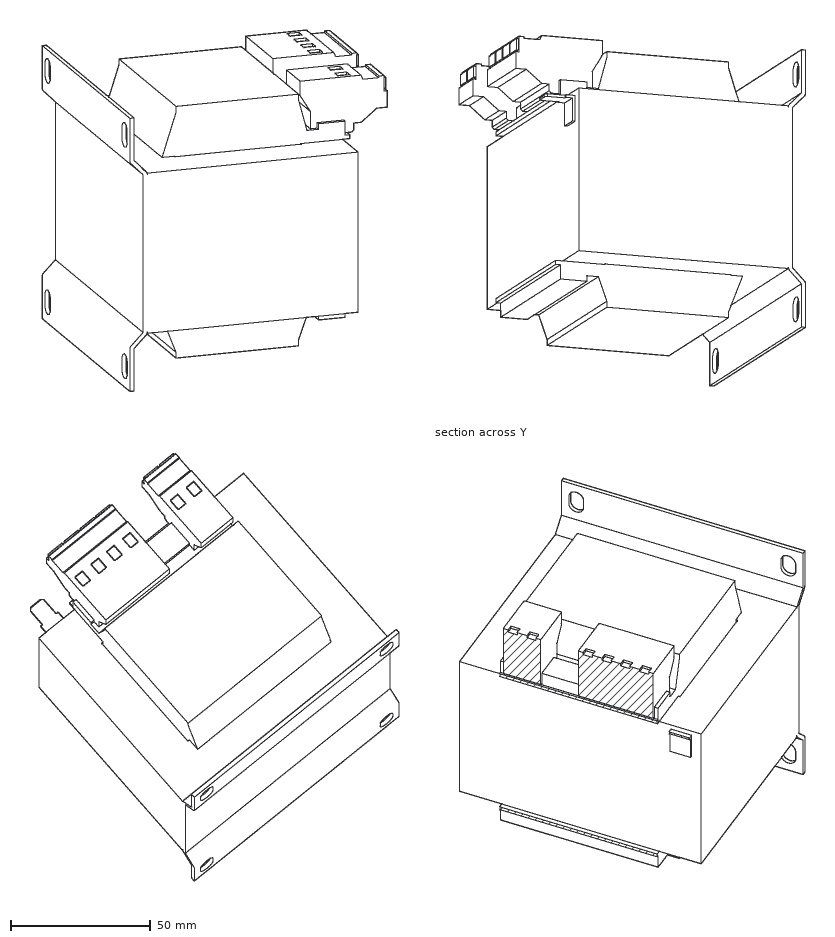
import cadquery as cq
import math


OVERALL_HEIGHT = 104.05
OVERALL_DEPTH = 104.0

CORE_WIDTH = 96.0
CORE_DEPTH = 80.0
CORE_HEIGHT = 60.0
LIMB_WIDTH = CORE_WIDTH / 6
CORE_FRONT_Y = 6.6
CORE_BACK_Y = CORE_FRONT_Y + CORE_DEPTH
WINDOW_FRONT_Y = CORE_FRONT_Y + LIMB_WIDTH
WINDOW_BACK_Y = CORE_BACK_Y - LIMB_WIDTH
CORE_TOP_Z = CORE_HEIGHT / 2

BRACKET_HEIGHT = 102.3
BRACKET_THICKNESS = 1.6
FLANGE_BEND_Z = 35.2
SLOT_WIDTH = 5.8
SLOT_LENGTH = 9.0
SLOT_X = 42.1
SLOT_Z = 43.3

BOBBIN_WIDTH = 62.6
COIL_TOP_Z = 48.6
COIL_BOTTOM_DEPTH = 45.7
COIL_FRONT_Y = 23.3
COIL_BACK_Y = 69.8
COIL_FOOT_FRONT_Y = 18.0
COIL_FOOT_BACK_Y = 73.0
COIL_EDGE_HEIGHT = 2.2
SHELF_Z = 34.7
RAIL_Z = 36.75
RAIL_FRONT_Y = 77.4
RAIL_BACK_Y = 87.5
LIP_Z = 31.5
LIP_BACK_Y = 89.3

TERMINAL_WIDTH = 14.9
TERMINAL_POSITIONS = (-2, -1, 1)
TERMINAL_TOP_Z = OVERALL_HEIGHT - BRACKET_HEIGHT / 2
TERMINAL_FRONT_Y = 70.9
TERMINAL_FRONT_BOTTOM_Z = 47.5
TERMINAL_FOOT_FRONT_Y = 74.8
TERMINAL_FOOT_TOP_Z = 41.2
TERMINAL_BACK_Y = OVERALL_DEPTH
HOOK_BACK_Y = 91.3
HOOK_BOTTOM_Z = 31.9
HOOK_TOP_Z = 35.2
HOOK_CHAMFER = 0.8
UNDERCUT_FRONT_Y = 94.1
UNDERCUT_BACK_Y = 100.0
NOSE_UNDERSIDE_Z = 39.9
STEP_FRONT_Y = 94.0
STEP_BACK_Y = 94.8
STEP_Z = 51.3
RIDGE_FOOT_Y = 100.7
RIDGE_FRONT_Y = 100.9
RIDGE_TOP_Z = 51.9
NOSE_BACK_Y = 102.8
NOSE_SHOULDER_Z = 46.1
POCKET_WIDTH = 3.5
POCKET_LENGTH = 4.5
POCKET_DEPTH = 1.0
POCKET_CENTRE_Y = 88.2
POCKET_OFFSET_X = 3.75
LUG_WIDTH = 6.6
LUG_BACK_Y = 103.6
LUG_BOTTOM_Z = 46.9
LUG_TOP_Z = 51.0

EARTH_X = -40.1
EARTH_THICKNESS = 1.0
EARTH_BASE_WIDTH = 8.2
EARTH_BLADE_WIDTH = 6.4
EARTH_BASE_BACK_Y = 90.1
EARTH_TIP_Y = 97.9
EARTH_TOP_Z = 28.1
EARTH_BOTTOM_Z = 18.6
EARTH_TIP_CHAMFER = 1.0
EARTH_EDGE_CHAMFER = 0.4


def box(x_range, y_range, z_range):
    """Box between the given limits on each axis."""
    size = [high - low for low, high in (x_range, y_range, z_range)]
    corner = (x_range[0], y_range[0], z_range[0])
    return cq.Workplane("XY").box(*size, centered=False).translate(corner)


def extrude_along_x(outline, start_x, width):
    """Extrude a closed Y-Z outline from start_x towards +X."""
    return outline.close().extrude(width).translate((start_x, 0, 0))


def make_core():
    """Laminated core block with one rectangular window through Z."""
    core_half = CORE_WIDTH / 2
    window_half = core_half - LIMB_WIDTH
    z_range = (-CORE_TOP_Z, CORE_TOP_Z)
    block = box((-core_half, core_half), (CORE_FRONT_Y, CORE_BACK_Y), z_range)
    window = box((-window_half, window_half), (WINDOW_FRONT_Y, WINDOW_BACK_Y), z_range)
    return block.cut(window)


def make_bobbin_end(coil_z):
    """Upper half of the bobbin and coil, reaching from mid-height up to coil_z."""
    edge_z = coil_z - COIL_EDGE_HEIGHT
    overhang = (
        cq.Workplane("YZ")
        .moveTo(COIL_FOOT_FRONT_Y, CORE_TOP_Z)
        .lineTo(COIL_FRONT_Y, edge_z)
        .lineTo(COIL_FRONT_Y, coil_z)
        .lineTo(COIL_BACK_Y, coil_z)
        .lineTo(COIL_BACK_Y, edge_z)
        .lineTo(COIL_FOOT_BACK_Y, SHELF_Z)
        .lineTo(RAIL_FRONT_Y, SHELF_Z)
        .lineTo(RAIL_FRONT_Y, RAIL_Z)
        .lineTo(RAIL_BACK_Y, RAIL_Z)
        .lineTo(RAIL_BACK_Y, LIP_Z)
        .lineTo(LIP_BACK_Y, LIP_Z)
        .lineTo(LIP_BACK_Y, CORE_TOP_Z)
    )
    half = BOBBIN_WIDTH / 2
    winding = box((-half, half), (WINDOW_FRONT_Y, WINDOW_BACK_Y), (0, CORE_TOP_Z))
    return extrude_along_x(overhang, -half, BOBBIN_WIDTH).union(winding)


def make_bracket_half():
    """Upper half of the bent mounting plate, with its two slots.

    Both 45 degree bends have a sharp inner corner and a round outer side.
    """
    thickness = BRACKET_THICKNESS
    diagonal = thickness * math.sqrt(0.5)
    half_bend = math.radians(45) / 2
    bend_across = thickness * math.cos(half_bend)
    bend_along = thickness * math.sin(half_bend)
    top_z = BRACKET_HEIGHT / 2
    inner_y = CORE_FRONT_Y - thickness
    inner_z = thickness + FLANGE_BEND_Z - 2 * diagonal - inner_y
    outline = (
        cq.Workplane("YZ")
        .moveTo(0, top_z)
        .lineTo(0, FLANGE_BEND_Z)
        .threePointArc(
            (thickness - bend_across, FLANGE_BEND_Z - bend_along),
            (thickness - diagonal, FLANGE_BEND_Z - diagonal),
        )
        .lineTo(inner_y, inner_z)
        .lineTo(inner_y, 0)
        .lineTo(CORE_FRONT_Y, 0)
        .lineTo(CORE_FRONT_Y, inner_z)
        .threePointArc(
            (inner_y + bend_across, inner_z + bend_along),
            (inner_y + diagonal, inner_z + diagonal),
        )
        .lineTo(thickness, FLANGE_BEND_Z)
        .lineTo(thickness, top_z)
    )
    slots = (
        cq.Workplane("XZ")
        .pushPoints([(-SLOT_X, SLOT_Z), (SLOT_X, SLOT_Z)])
        .slot2D(SLOT_LENGTH, SLOT_WIDTH, 90)
        .extrude(-thickness)
    )
    return extrude_along_x(outline, -CORE_WIDTH / 2, CORE_WIDTH).cut(slots)


def make_terminal(start_x):
    """One two-pole terminal block, clipped over the bobbin rail."""
    outline = (
        cq.Workplane("YZ")
        .moveTo(TERMINAL_FRONT_Y, TERMINAL_TOP_Z)
        .lineTo(TERMINAL_FRONT_Y, TERMINAL_FRONT_BOTTOM_Z)
        .lineTo(TERMINAL_FOOT_FRONT_Y, TERMINAL_FOOT_TOP_Z)
        .lineTo(TERMINAL_FOOT_FRONT_Y, SHELF_Z)
        .lineTo(RAIL_FRONT_Y, SHELF_Z)
        .lineTo(RAIL_FRONT_Y, RAIL_Z)
        .lineTo(RAIL_BACK_Y, RAIL_Z)
        .lineTo(RAIL_BACK_Y, HOOK_BOTTOM_Z)
        .lineTo(HOOK_BACK_Y - HOOK_CHAMFER, HOOK_BOTTOM_Z)
        .lineTo(HOOK_BACK_Y, HOOK_BOTTOM_Z + HOOK_CHAMFER)
        .lineTo(HOOK_BACK_Y, HOOK_TOP_Z)
        .lineTo(UNDERCUT_FRONT_Y, HOOK_TOP_Z)
        .lineTo(UNDERCUT_BACK_Y, NOSE_UNDERSIDE_Z)
        .lineTo(TERMINAL_BACK_Y, NOSE_UNDERSIDE_Z)
        .lineTo(TERMINAL_BACK_Y, NOSE_SHOULDER_Z)
        .lineTo(NOSE_BACK_Y, NOSE_SHOULDER_Z)
        .lineTo(NOSE_BACK_Y, RIDGE_TOP_Z)
        .lineTo(RIDGE_FRONT_Y, RIDGE_TOP_Z)
        .lineTo(RIDGE_FOOT_Y, STEP_Z)
        .lineTo(STEP_BACK_Y, STEP_Z)
        .lineTo(STEP_FRONT_Y, TERMINAL_TOP_Z)
    )
    block = extrude_along_x(outline, start_x, TERMINAL_WIDTH)
    centre_x = start_x + TERMINAL_WIDTH / 2
    for side in (-1, 1):
        pocket_x = centre_x + side * POCKET_OFFSET_X
        block = block.cut(box(
            (pocket_x - POCKET_WIDTH / 2, pocket_x + POCKET_WIDTH / 2),
            (POCKET_CENTRE_Y - POCKET_LENGTH / 2, POCKET_CENTRE_Y + POCKET_LENGTH / 2),
            (TERMINAL_TOP_Z - POCKET_DEPTH, TERMINAL_TOP_Z),
        ))
        lug_x = centre_x + side * TERMINAL_WIDTH / 4
        block = block.union(box(
            (lug_x - LUG_WIDTH / 2, lug_x + LUG_WIDTH / 2),
            (NOSE_BACK_Y, LUG_BACK_Y),
            (LUG_BOTTOM_Z, LUG_TOP_Z),
        ))
    return block


def make_earth_tab():
    """L-shaped flat-plug earth tab on the back of the core."""
    base_half = EARTH_BASE_WIDTH / 2
    blade_half = EARTH_BLADE_WIDTH / 2
    base_x = (EARTH_X - base_half, EARTH_X + base_half)
    blade_x = (EARTH_X - blade_half, EARTH_X + blade_half)
    blade_z = (EARTH_TOP_Z - EARTH_THICKNESS, EARTH_TOP_Z)
    leg = box(base_x, (CORE_BACK_Y, CORE_BACK_Y + EARTH_THICKNESS), (EARTH_BOTTOM_Z, EARTH_TOP_Z))
    base = box(base_x, (CORE_BACK_Y, EARTH_BASE_BACK_Y), blade_z)
    blade = (
        box(blade_x, (CORE_BACK_Y, EARTH_TIP_Y), blade_z)
        .edges("|Z and >Y").chamfer(EARTH_TIP_CHAMFER)
        .faces(">Y").edges("|X").chamfer(EARTH_EDGE_CHAMFER)
    )
    return leg.union(base).union(blade)


bracket_half = make_bracket_half()
upper_bobbin = make_bobbin_end(COIL_TOP_Z)
lower_bobbin = make_bobbin_end(COIL_BOTTOM_DEPTH).mirror("XY")

result = make_core()
result = result.union(bracket_half).union(bracket_half.mirror("XY"))
result = result.union(upper_bobbin).union(lower_bobbin)
for position in TERMINAL_POSITIONS:
    result = result.union(make_terminal(position * TERMINAL_WIDTH))
result = result.union(make_earth_tab())